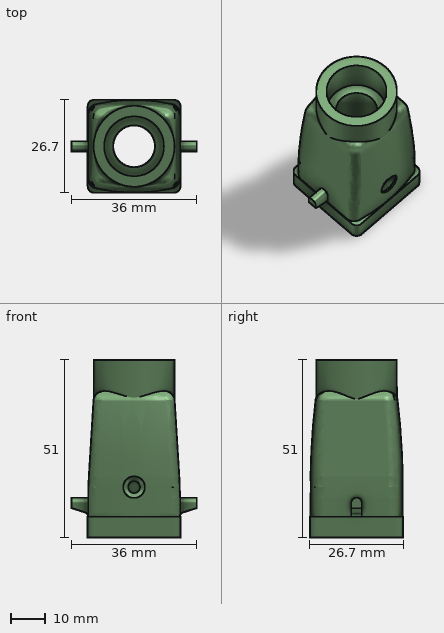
import cadquery as cq
import math

TOTAL_HEIGHT = 51.0
PIN_SPAN = 36.0

BASE_WIDTH = 26.7
BASE_HEIGHT = 6.0
BASE_CORNER_RADIUS = 2.0

BODY_WIDTH = 26.4
BODY_DEPTH = 26.55
BODY_TOP = 42.1
TAPER_START = 14.45
SIDE_TAPER_ANGLE = 3.5
SIDE_BLEND_LENGTH = 3.05
CROWN_RADIUS = 50.0
LEAN_RADIUS = 213.2
BODY_EDGE_RADIUS = 3.0

COLLAR_DIAMETER = 23.2
COUNTERBORE_DIAMETER = 17.2
COUNTERBORE_DEPTH = 11.0
BORE_DIAMETER = 11.95

PIN_WIDTH = 3.0
PIN_TOP = 11.5
PIN_TIP_BOTTOM = 8.45
PIN_UNDERSIDE_ANGLE = 17.8
PIN_ROOT_RADIUS = 1.0

RECESS_HEIGHT = 14.5
RECESS_MOUTH_DIAMETER = 6.2
RECESS_MOUTH_DEPTH = 0.6
RECESS_FLOOR_DIAMETER = 3.4
RECESS_FLOOR_DEPTH = 4.05

BODY_HALF = BODY_WIDTH / 2
CROWN_HALF = BODY_DEPTH / 2


def make_base():
    base = cq.Workplane("XY").rect(BASE_WIDTH, BASE_WIDTH).extrude(BASE_HEIGHT)
    return base.edges("|Z").fillet(BASE_CORNER_RADIUS)


def make_side_taper():
    """Prism whose upright X walls blend through an arc into leaning flats."""
    angle = math.radians(SIDE_TAPER_ANGLE)
    blend_radius = SIDE_BLEND_LENGTH / math.tan(angle / 2)
    blend_start = TAPER_START - SIDE_BLEND_LENGTH

    def blend_point(turn):
        x = BODY_HALF - blend_radius * (1 - math.cos(turn))
        return x, blend_start + blend_radius * math.sin(turn)

    mid_x, mid_z = blend_point(angle / 2)
    end_x, end_z = blend_point(angle)
    top_x = end_x - (BODY_TOP - end_z) * math.tan(angle)
    outline = (
        cq.Workplane("XZ")
        .moveTo(-BODY_HALF, 0)
        .lineTo(BODY_HALF, 0)
        .lineTo(BODY_HALF, blend_start)
        .threePointArc((mid_x, mid_z), (end_x, end_z))
        .lineTo(top_x, BODY_TOP)
        .lineTo(-top_x, BODY_TOP)
        .lineTo(-end_x, end_z)
        .threePointArc((-mid_x, mid_z), (-BODY_HALF, blend_start))
        .close()
    )
    return outline.extrude(BODY_DEPTH, both=True)


def make_crowned_round(facing):
    """Large turned solid whose rim forms the crowned wall on the facing (-1 or +1) Y side."""
    def rim_point(height):
        rise = height - TAPER_START
        return CROWN_RADIUS - LEAN_RADIUS + math.sqrt(LEAN_RADIUS**2 - rise**2), height

    profile = (
        cq.Workplane("XZ")
        .lineTo(CROWN_RADIUS, 0)
        .lineTo(CROWN_RADIUS, TAPER_START)
        .threePointArc(rim_point((TAPER_START + BODY_TOP) / 2), rim_point(BODY_TOP))
        .lineTo(0, BODY_TOP)
        .close()
    )
    turned = profile.revolve(360, (0, 0), (0, 1))
    turned = turned.rotate((0, 0, 0), (0, 0, 1), -90 * facing)
    return turned.translate((0, facing * (CROWN_HALF - CROWN_RADIUS), 0))


def make_body():
    body = make_side_taper()
    for facing in (-1, 1):
        body = body.intersect(make_crowned_round(facing))
    corners = body.edges().filter(lambda edge: abs(edge.Center().x * edge.Center().y) > 0.2601)
    rim = body.faces(">Z").edges()
    return corners.add(rim).fillet(BODY_EDGE_RADIUS)


def make_collar():
    return cq.Workplane("XY").circle(COLLAR_DIAMETER / 2).extrude(TOTAL_HEIGHT)


def make_pin():
    """Round-topped pin on the +X wall with a sloping, filleted underside."""
    angle = math.radians(PIN_UNDERSIDE_ANGLE)
    tip_x = PIN_SPAN / 2
    corner_z = PIN_TIP_BOTTOM - (tip_x - BODY_HALF) * math.tan(angle)
    turn = math.pi / 2 - angle
    tangent = PIN_ROOT_RADIUS * math.tan(turn / 2)
    center_x = BODY_HALF + PIN_ROOT_RADIUS
    center_z = corner_z - tangent
    arc_mid = (
        center_x - PIN_ROOT_RADIUS * math.cos(turn / 2),
        center_z + PIN_ROOT_RADIUS * math.sin(turn / 2),
    )
    arc_end = (BODY_HALF + tangent * math.cos(angle), corner_z + tangent * math.sin(angle))
    root_x = COLLAR_DIAMETER / 2
    profile = (
        cq.Workplane("XZ")
        .moveTo(root_x, PIN_TOP)
        .lineTo(root_x, center_z)
        .lineTo(BODY_HALF, center_z)
        .threePointArc(arc_mid, arc_end)
        .lineTo(tip_x, PIN_TIP_BOTTOM)
        .lineTo(tip_x, PIN_TOP)
        .close()
    )
    blank = profile.extrude(PIN_WIDTH / 2, both=True)
    shaft_center = PIN_TOP - PIN_WIDTH / 2
    section = (
        cq.Workplane("YZ")
        .moveTo(-PIN_WIDTH / 2, 0)
        .lineTo(PIN_WIDTH / 2, 0)
        .lineTo(PIN_WIDTH / 2, shaft_center)
        .threePointArc((0, PIN_TOP), (-PIN_WIDTH / 2, shaft_center))
        .close()
        .extrude(tip_x)
    )
    return blank.intersect(section)


def make_recess():
    """Short bore, 45 degree cone and smaller blind bore, turned about a Y axis."""
    mouth = RECESS_MOUTH_DIAMETER / 2
    floor = RECESS_FLOOR_DIAMETER / 2
    cone_end = RECESS_MOUTH_DEPTH + mouth - floor
    profile = (
        cq.Workplane("XY")
        .lineTo(mouth, 0)
        .lineTo(mouth, RECESS_MOUTH_DEPTH)
        .lineTo(floor, cone_end)
        .lineTo(floor, RECESS_FLOOR_DEPTH)
        .lineTo(0, RECESS_FLOOR_DEPTH)
        .close()
    )
    turned = profile.revolve(360, (0, 0), (0, 1))
    return turned.translate((0, -CROWN_HALF, RECESS_HEIGHT))


def make_bore():
    through = cq.Workplane("XY").circle(BORE_DIAMETER / 2).extrude(TOTAL_HEIGHT)
    counterbore = (
        cq.Workplane("XY", origin=(0, 0, TOTAL_HEIGHT - COUNTERBORE_DEPTH))
        .circle(COUNTERBORE_DIAMETER / 2)
        .extrude(COUNTERBORE_DEPTH)
    )
    return through.union(counterbore)


pin = make_pin()
result = (
    make_base()
    .union(make_body())
    .union(make_collar())
    .union(pin)
    .union(pin.mirror("YZ"))
    .cut(make_recess())
    .cut(make_bore())
)